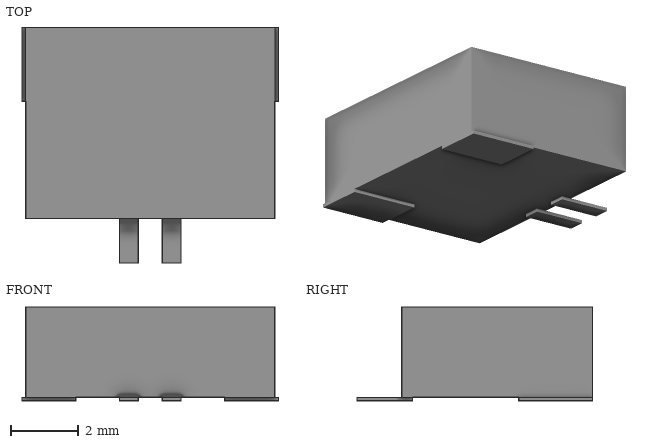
import cadquery as cq

overall_width = 7.65
overall_depth = 7.03
overall_height = 2.8

metal_thickness = 0.1

pad_overhang = 0.11
lead_overhang = 1.33
housing_width = overall_width - 2 * pad_overhang
housing_depth = overall_depth - lead_overhang
housing_height = overall_height - metal_thickness

pad_width = 1.61
pad_depth = 2.2

lead_width = 0.565
lead_length = 1.66
lead_pitch = 1.27

housing_front = -housing_depth / 2
housing_rear = housing_depth / 2


def make_housing():
    """Plain block above the pads and leads."""
    return cq.Workplane("XY").workplane(offset=metal_thickness).box(
        housing_width, housing_depth, housing_height, centered=(True, True, False)
    )


def make_pad(side):
    """Flat pad flush with the rear face; side is -1 for left and +1 for right."""
    center_x = side * (overall_width - pad_width) / 2
    center_y = housing_rear - pad_depth / 2
    return (
        cq.Workplane("XY")
        .center(center_x, center_y)
        .rect(pad_width, pad_depth)
        .extrude(metal_thickness)
    )


def make_lead(side):
    """Flat lead projecting forward; side is -1 for left and +1 for right."""
    center_x = side * lead_pitch / 2
    center_y = housing_front - lead_overhang + lead_length / 2
    return (
        cq.Workplane("XY")
        .center(center_x, center_y)
        .rect(lead_width, lead_length)
        .extrude(metal_thickness)
    )


housing = make_housing()
sides = (-1, 1)
pads = [make_pad(side).val() for side in sides]
leads = [make_lead(side).val() for side in sides]

result = cq.Compound.makeCompound([housing.val(), *pads, *leads])